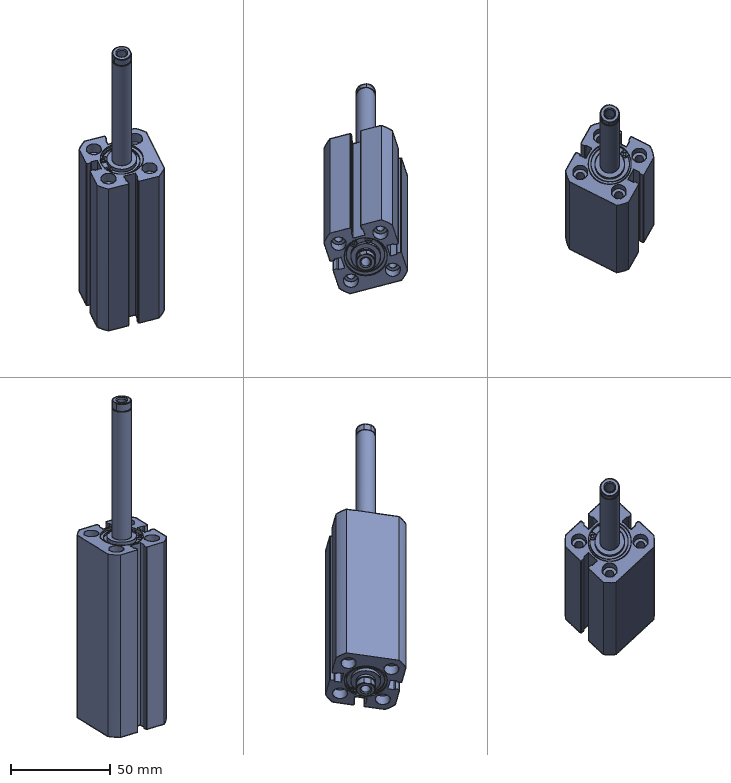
import cadquery as cq
import math

HOUSING_WIDTH = 36.0
HOUSING_LENGTH = 102.0
CORNER_TURNING_DIAMETER = 45.0
BORE_DIAMETER = 20.0
RECESS_DIAMETER = 21.7

MOUNT_PITCH = 22.0
MOUNT_HOLE_DIAMETER = 4.2
MOUNT_COUNTERBORE_DIAMETER = 7.5
MOUNT_COUNTERBORE_DEPTH = 6.0

SLOT_THROAT_WIDTH = 5.0
SLOT_INNER_WIDTH = 6.2
SLOT_DEPTH = 6.0
SLOT_LIP_DEPTH = 2.2
SLOT_FLARE = 0.4
SLOT_TAPER = (SLOT_INNER_WIDTH - SLOT_THROAT_WIDTH) / 2
SLOT_ANGLES = (-90, 0, 180)

COLLAR_BOSS_DIAMETER = 15.0
COLLAR_BOSS_HEIGHT = 2.0
COLLAR_LENGTH = 12.0

RING_THICKNESS = 1.0
RING_INNER_RADIUS = 9.7
RING_INNER_OFFSET = 0.55
RING_GAP_WIDTH = 5.0
LUG_X = 3.95
LUG_Y = -8.45
LUG_RADIUS = 1.8
LUG_HOLE_DIAMETER = 1.7

ROD_DIAMETER = 10.0
ROD_CHAMFER = 0.3
ROD_TOP_EXTENSION = 76.0
ROD_BOTTOM_EXTENSION = 6.0
TIP_DIAMETER = 9.7
TIP_LENGTH = 4.2
TIP_ACROSS_FLATS = 9.0
TIP_CHAMFER = 0.3
THREAD_DIAMETER = 4.8
THREAD_DEPTH = 12.0
THREAD_CHAMFER = 0.6
DRILL_POINT_ANGLE = 118.0


def cylinder(diameter, length, bottom=0.0):
    return cq.Workplane("XY").workplane(offset=bottom).circle(diameter / 2).extrude(length)


def at_both_ends(body):
    """The body at the top end and its mirror image at the bottom end of the housing."""
    mid_height = (0, 0, HOUSING_LENGTH / 2)
    return [body, body.mirror("XY", mid_height)]


def sensor_slot(angle):
    face = HOUSING_WIDTH / 2
    lip = face - SLOT_LIP_DEPTH
    floor = face - SLOT_DEPTH
    throat_side = SLOT_THROAT_WIDTH / 2
    inner_side = SLOT_INNER_WIDTH / 2
    side_points = [
        (face, throat_side + SLOT_FLARE),
        (face - SLOT_FLARE, throat_side),
        (lip, throat_side),
        (lip - SLOT_TAPER, inner_side),
        (floor, inner_side),
    ]
    opposite_points = [(x, -y) for x, y in reversed(side_points)]
    profile = cq.Workplane("XY").polyline(side_points + opposite_points).close()
    return profile.extrude(HOUSING_LENGTH).rotate((0, 0, 0), (0, 0, 1), angle)


def make_housing():
    block = cq.Workplane("XY").rect(HOUSING_WIDTH, HOUSING_WIDTH).extrude(HOUSING_LENGTH)
    body = block.intersect(cylinder(CORNER_TURNING_DIAMETER, HOUSING_LENGTH))
    body = body.cut(cylinder(BORE_DIAMETER, HOUSING_LENGTH))
    recess = cylinder(RECESS_DIAMETER, COLLAR_LENGTH, HOUSING_LENGTH - COLLAR_LENGTH)
    for end_recess in at_both_ends(recess):
        body = body.cut(end_recess)
    counterbore_floor = HOUSING_LENGTH - MOUNT_COUNTERBORE_DEPTH
    counterbore = cylinder(MOUNT_COUNTERBORE_DIAMETER, MOUNT_COUNTERBORE_DEPTH, counterbore_floor)
    for angle in SLOT_ANGLES:
        body = body.cut(sensor_slot(angle))
    for x in (-MOUNT_PITCH / 2, MOUNT_PITCH / 2):
        for y in (-MOUNT_PITCH / 2, MOUNT_PITCH / 2):
            body = body.cut(cylinder(MOUNT_HOLE_DIAMETER, HOUSING_LENGTH).translate((x, y, 0)))
            for end_counterbore in at_both_ends(counterbore.translate((x, y, 0))):
                body = body.cut(end_counterbore)
    return body


def make_collar():
    """The collar of the top end, its boss flush with the end of the housing."""
    bottom = HOUSING_LENGTH - COLLAR_LENGTH
    flange = cylinder(RECESS_DIAMETER, COLLAR_LENGTH - COLLAR_BOSS_HEIGHT, bottom)
    collar = flange.union(cylinder(COLLAR_BOSS_DIAMETER, COLLAR_LENGTH, bottom))
    return collar.cut(cylinder(ROD_DIAMETER, COLLAR_LENGTH, bottom))


def make_retaining_ring():
    """The ring of the top end, lying on the collar's flange with its gap toward -Y."""
    band = cylinder(RECESS_DIAMETER, RING_THICKNESS)
    band = band.cut(cylinder(2 * RING_INNER_RADIUS, RING_THICKNESS).translate((0, -RING_INNER_OFFSET, 0)))
    gap_length = RECESS_DIAMETER / 2
    gap = cq.Workplane("XY").rect(RING_GAP_WIDTH, gap_length).extrude(RING_THICKNESS)
    ring = band.cut(gap.translate((0, -gap_length, 0)))
    for x in (-LUG_X, LUG_X):
        ring = ring.union(cylinder(2 * LUG_RADIUS, RING_THICKNESS).translate((x, LUG_Y, 0)))
        ring = ring.cut(cylinder(LUG_HOLE_DIAMETER, RING_THICKNESS).translate((x, LUG_Y, 0)))
    ring = ring.intersect(cylinder(RECESS_DIAMETER, RING_THICKNESS))
    return ring.translate((0, 0, HOUSING_LENGTH - COLLAR_BOSS_HEIGHT))


def rod_tip():
    """A tip standing on z = 0, its upper end chamfered, with two flats facing -Y and +Y."""
    flats = cq.Workplane("XY").rect(ROD_DIAMETER, TIP_ACROSS_FLATS).extrude(TIP_LENGTH)
    tip = cylinder(TIP_DIAMETER, TIP_LENGTH).faces(">Z").chamfer(TIP_CHAMFER)
    return tip.intersect(flats)


def thread_hole():
    """A drilled hole opening upward at z = 0, with a chamfered mouth and a conical point."""
    radius = THREAD_DIAMETER / 2
    point_length = radius / math.tan(math.radians(DRILL_POINT_ANGLE / 2))
    return (
        cq.Workplane("XZ")
        .moveTo(0, 0)
        .lineTo(radius + THREAD_CHAMFER, 0)
        .lineTo(radius, -THREAD_CHAMFER)
        .lineTo(radius, -THREAD_DEPTH)
        .lineTo(0, -THREAD_DEPTH - point_length)
        .close()
        .revolve(360, (0, 0, 0), (0, 1, 0))
    )


def make_piston_rod():
    top = HOUSING_LENGTH + ROD_TOP_EXTENSION
    bottom = -ROD_BOTTOM_EXTENSION
    shank_bottom = bottom + TIP_LENGTH
    shank_length = top - bottom - 2 * TIP_LENGTH
    rod = cylinder(ROD_DIAMETER, shank_length, shank_bottom).faces("<Z or >Z").chamfer(ROD_CHAMFER)
    rod = rod.union(rod_tip().translate((0, 0, top - TIP_LENGTH)))
    rod = rod.union(rod_tip().mirror("XY").translate((0, 0, bottom + TIP_LENGTH)))
    rod = rod.cut(thread_hole().translate((0, 0, top)))
    return rod.cut(thread_hole().mirror("XY").translate((0, 0, bottom)))


housing = make_housing()
collars = at_both_ends(make_collar())
retaining_rings = at_both_ends(make_retaining_ring())
piston_rod = make_piston_rod()

bodies = [housing, *collars, *retaining_rings, piston_rod]
result = cq.Compound.makeCompound([body.val() for body in bodies])